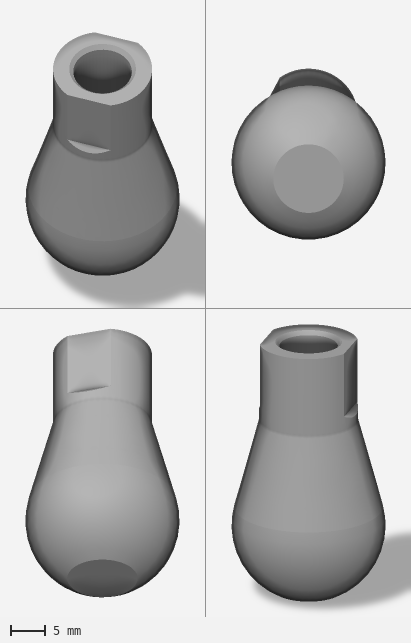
import cadquery as cq
import math

total_height = 38.1
ball_radius = 22.225 / 2
base_flat_radius = 5.08

neck_radius = 14.2875 / 2
cone_half_angle = math.radians(15)
neck_blend_radius = 1.27

flat_spacing = 12.7
flat_length = 9.7

bore_radius = 8.43 / 2
bore_mouth_radius = 9.6 / 2
bore_depth = 19.05
boss_top_radius = 5.16 / 2

ball_centre_z = math.sqrt(ball_radius**2 - base_flat_radius**2)


def on_ball(angle):
    """Radius and height of the ball surface at an angle above its equator."""
    return (ball_radius * math.cos(angle), ball_centre_z + ball_radius * math.sin(angle))


def make_body():
    """Revolve the ball, the cone tangent to it, the blend and the neck."""
    cone_start = on_ball(cone_half_angle)
    corner_z = cone_start[1] + (cone_start[0] - neck_radius) / math.tan(cone_half_angle)

    blend_tangent = neck_blend_radius * math.tan(cone_half_angle / 2)
    blend_start = (
        neck_radius + blend_tangent * math.sin(cone_half_angle),
        corner_z - blend_tangent * math.cos(cone_half_angle),
    )
    blend_end = (neck_radius, corner_z + blend_tangent)
    blend_middle = (
        neck_radius + neck_blend_radius * (1 - math.cos(cone_half_angle / 2)),
        blend_end[1] - neck_blend_radius * math.sin(cone_half_angle / 2),
    )

    profile = (
        cq.Workplane("XZ")
        .lineTo(base_flat_radius, 0)
        .threePointArc(on_ball(0), cone_start)
        .lineTo(*blend_start)
        .threePointArc(blend_middle, blend_end)
        .lineTo(neck_radius, total_height)
        .lineTo(0, total_height)
        .close()
    )
    return profile.revolve(360, (0, 0), (0, 1))


def make_flat_cutter(side):
    """Wedge-bottomed cutter for one flat; side is +1 or -1 along Y."""
    flat_y = flat_spacing / 2
    outer_y = ball_radius
    flat_bottom_z = total_height - flat_length
    runout_z = flat_bottom_z - (outer_y - flat_y)
    outline = [
        (side * flat_y, total_height),
        (side * flat_y, flat_bottom_z),
        (side * outer_y, runout_z),
        (side * outer_y, total_height),
    ]
    return cq.Workplane("YZ").polyline(outline).close().extrude(neck_radius, both=True)


def make_bore():
    """Revolve the bore: chamfered mouth, straight wall and a cone rising from its floor."""
    floor_z = total_height - bore_depth
    boss_top_z = floor_z + bore_radius - boss_top_radius
    mouth_depth = bore_mouth_radius - bore_radius
    outline = [
        (0, boss_top_z),
        (boss_top_radius, boss_top_z),
        (bore_radius, floor_z),
        (bore_radius, total_height - mouth_depth),
        (bore_mouth_radius, total_height),
        (0, total_height),
    ]
    return cq.Workplane("XZ").polyline(outline).close().revolve(360, (0, 0), (0, 1))


result = make_body().cut(make_bore())
for side in (-1, 1):
    result = result.cut(make_flat_cutter(side))